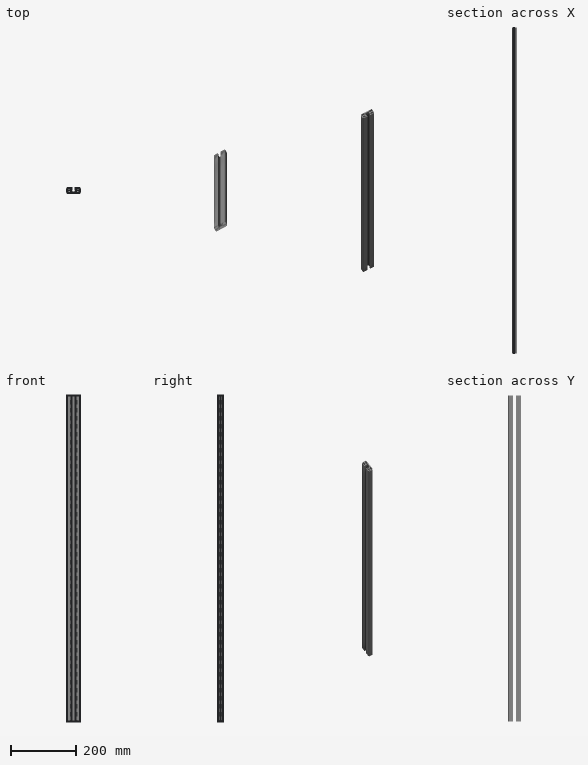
import cadquery as cq


width = 40.0
depth = 16.0
length = 1000.0
corner_radius = 4.0

wall = 1.5
rib_thickness = 2.0

slot_opening = 10.0
slot_inner_width = 14.5
slot_floor_width = 11.5
slot_depth = 13.0
lip_depth = 5.0
taper_depth = 6.5
slot_side_wall = 2.0

half_width = width / 2
half_depth = depth / 2
inner_radius = corner_radius - wall

opening_x = slot_opening / 2
slot_x = slot_inner_width / 2
slot_floor_x = slot_floor_width / 2
lip_y = half_depth - lip_depth
taper_y = half_depth - taper_depth
slot_floor_y = half_depth - slot_depth

chamber_outer_x = half_width - wall
chamber_inner_x = slot_x + slot_side_wall
chamber_end_y = half_depth - wall
lip_pocket_x = opening_x + wall
lip_pocket_y = lip_y + wall
rib_y = rib_thickness / 2


def extrude_outline(points):
    return cq.Workplane("XY").polyline(points).close().extrude(length)


def make_body():
    block = cq.Workplane("XY").rect(width, depth).extrude(length)
    return block.edges("|Z").fillet(corner_radius)


def make_slot():
    right_side = [
        (slot_floor_x, slot_floor_y),
        (slot_x, taper_y),
        (slot_x, lip_y),
        (opening_x, lip_y),
        (opening_x, half_depth),
    ]
    left_side = [(-x, y) for x, y in reversed(right_side)]
    return extrude_outline(right_side + left_side)


def make_chamber(points, outer_edge):
    """Side chamber on +X, rounded at its edge inside the corner of the body."""
    return extrude_outline(points).edges(outer_edge).fillet(inner_radius)


def make_upper_chamber():
    """Chamber between the rib and the +Y wall, reaching inwards over the slot lip."""
    points = [
        (chamber_outer_x, rib_y),
        (chamber_inner_x, rib_y),
        (chamber_inner_x, lip_pocket_y),
        (lip_pocket_x, lip_pocket_y),
        (lip_pocket_x, chamber_end_y),
        (chamber_outer_x, chamber_end_y),
    ]
    return make_chamber(points, "(>X and >Y) and |Z")


def make_lower_chamber():
    """Chamber between the rib and the -Y wall, following the taper of the slot."""
    points = [
        (chamber_outer_x, -rib_y),
        (chamber_inner_x, -rib_y),
        (lip_pocket_x, -chamber_end_y),
        (chamber_outer_x, -chamber_end_y),
    ]
    return make_chamber(points, "(>X and <Y) and |Z")


result = make_body().cut(make_slot())
for chamber in (make_upper_chamber(), make_lower_chamber()):
    result = result.cut(chamber).cut(chamber.mirror("YZ"))